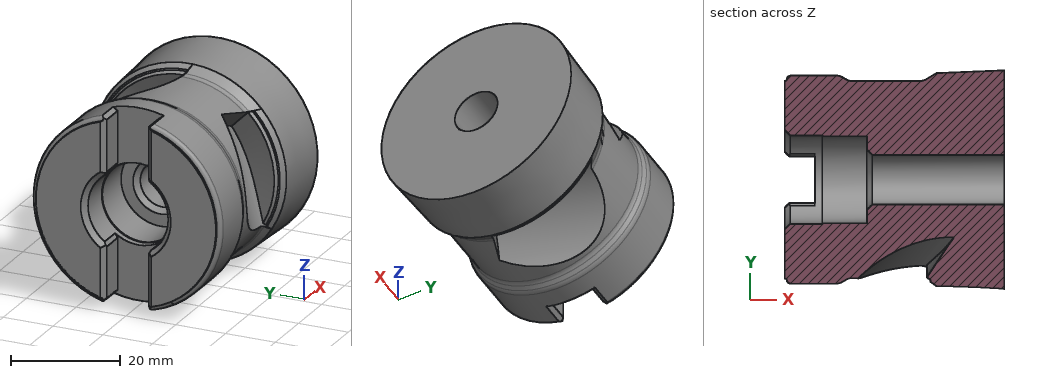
import cadquery as cq
import math

LENGTH = 40.05
RIM_RADIUS = 19.0
NECK_RADIUS = 18.0
TAIL_RADIUS = 19.95
CONE_ANGLE = math.radians(30)
RIM_CONE_START = 10.0
SHOULDER_CONE_START = 25.15
SHOULDER_CONE_END = 27.65
BLEND_RADIUS = 2.0

FACE_LIP_LENGTH = 0.35
FACE_LIP_TAPER = 0.05
RIM_ROUND = 0.85

BORE_RADIUS = 8.05
BORE_STEP = 0.15
BORE_STEP_DEPTH = 6.9
BORE_DEPTH = 15.0
BORE_CHAMFER = 1.0
HOLE_RADIUS = 4.5
HOLE_CHAMFER = 1.0

SLOT_WIDTH = 8.4
SLOT_DEPTH = 5.5
SLOT_CHAMFER = 0.9
SLOT_BORE_CHAMFER = 0.5

POCKET_COUNT = 3
POCKET_ANGLE = 30.0
POCKET_TILT = 20.5
SCOOP_RADIUS = 20.0
SCOOP_AXIS_RADIAL = 29.1
SCOOP_AXIS_OFFSET = 30.45
SCOOP_END = 13.45
SHOULDER_LIP_TIP_X = 25.9
SHOULDER_LIP_TIP_RADIUS = 17.8
SHOULDER_LIP_BEVEL_LENGTH = 0.65
SHOULDER_LIP_BEVEL_HEIGHT = 0.5
SHOULDER_LIP_STEP = 0.35
UNDERCUT_ANGLE = math.radians(34)

SHOULDER_RADIUS = NECK_RADIUS + (SHOULDER_CONE_END - SHOULDER_CONE_START) * math.tan(CONE_ANGLE)

CLEARANCE = 40.0
X_AXIS = ((0, 0, 0), (1, 0, 0))


def revolved(profile):
    """Turn a closed (x, radius) profile about the X axis."""
    return profile.close().revolve(360, *X_AXIS)


def blend(profile, corner_x, corner_radius, turn_in, turn_out):
    """Run the profile to a corner and round it; turn_in and turn_out are the line slopes."""
    reach = BLEND_RADIUS * math.tan(abs(turn_out - turn_in) / 2)
    start = (corner_x - reach * math.cos(turn_in), corner_radius - reach * math.sin(turn_in))
    end = (corner_x + reach * math.cos(turn_out), corner_radius + reach * math.sin(turn_out))
    tangent = (math.cos(turn_in), math.sin(turn_in))
    return profile.lineTo(*start).tangentArcPoint(end, relative=False)


def make_body():
    rim_cone_end = RIM_CONE_START + (RIM_RADIUS - NECK_RADIUS) / math.tan(CONE_ANGLE)
    rim_round_end = FACE_LIP_LENGTH + RIM_ROUND
    rim_round_start_radius = RIM_RADIUS - RIM_ROUND
    diagonal = RIM_ROUND * math.sqrt(0.5)
    profile = (
        cq.Workplane("XY")
        .lineTo(0, rim_round_start_radius - FACE_LIP_TAPER)
        .lineTo(FACE_LIP_LENGTH, rim_round_start_radius)
        .threePointArc(
            (rim_round_end - diagonal, rim_round_start_radius + diagonal),
            (rim_round_end, RIM_RADIUS),
        )
    )
    profile = blend(profile, RIM_CONE_START, RIM_RADIUS, 0, -CONE_ANGLE)
    profile = blend(profile, rim_cone_end, NECK_RADIUS, -CONE_ANGLE, 0)
    profile = blend(profile, SHOULDER_CONE_START, NECK_RADIUS, 0, CONE_ANGLE)
    profile = (
        profile.lineTo(SHOULDER_CONE_END, SHOULDER_RADIUS)
        .lineTo(LENGTH, TAIL_RADIUS)
        .lineTo(LENGTH, 0)
    )
    return revolved(profile)


def make_bore():
    inner_radius = BORE_RADIUS - BORE_STEP
    profile = (
        cq.Workplane("XY")
        .lineTo(0, BORE_RADIUS + BORE_CHAMFER)
        .lineTo(BORE_CHAMFER, BORE_RADIUS)
        .lineTo(BORE_STEP_DEPTH, BORE_RADIUS)
        .lineTo(BORE_STEP_DEPTH, inner_radius)
        .lineTo(BORE_DEPTH, inner_radius)
        .lineTo(BORE_DEPTH, HOLE_RADIUS + HOLE_CHAMFER)
        .lineTo(BORE_DEPTH + HOLE_CHAMFER, HOLE_RADIUS)
        .lineTo(LENGTH, HOLE_RADIUS)
        .lineTo(LENGTH, 0)
    )
    return revolved(profile)


def make_slot_half():
    """Upper half of the slot, with broken edges where its walls meet the bore and the rim."""
    half_width = SLOT_WIDTH / 2
    bore_y = half_width + SLOT_BORE_CHAMFER
    rim_y = half_width + SLOT_CHAMFER
    right_side = [
        (bore_y, 0),
        (bore_y, math.sqrt(BORE_RADIUS**2 - bore_y**2)),
        (half_width, math.sqrt(BORE_RADIUS**2 - half_width**2) + SLOT_BORE_CHAMFER),
        (half_width, math.sqrt(RIM_RADIUS**2 - half_width**2) - SLOT_CHAMFER),
        (rim_y, math.sqrt(RIM_RADIUS**2 - rim_y**2)),
        (rim_y, CLEARANCE),
    ]
    left_side = [(-y, z) for y, z in reversed(right_side)]
    return cq.Workplane("YZ").polyline(right_side + left_side).close().extrude(SLOT_DEPTH)


def cut_slot(body):
    half_width = SLOT_WIDTH / 2
    half_mouth = half_width + SLOT_CHAMFER
    flared_mouth = (
        cq.Workplane("XY")
        .polyline([(0, -half_mouth), (SLOT_CHAMFER, -half_width), (SLOT_CHAMFER, half_width), (0, half_mouth)])
        .close()
        .extrude(CLEARANCE, both=True)
    )
    upper_half = make_slot_half()
    lower_half = upper_half.rotate(*X_AXIS, 180)
    return body.cut(upper_half).cut(lower_half).cut(flared_mouth)


def make_pocket_limit():
    """Space in front of the pocket's end wall: an undercut cone below a bevelled, stepped lip."""
    bevel_end_x = SHOULDER_LIP_TIP_X + SHOULDER_LIP_BEVEL_LENGTH
    bevel_end_radius = SHOULDER_LIP_TIP_RADIUS + SHOULDER_LIP_BEVEL_HEIGHT
    cone_apex_x = SHOULDER_LIP_TIP_X + SHOULDER_LIP_TIP_RADIUS * math.tan(UNDERCUT_ANGLE)
    profile = (
        cq.Workplane("XY")
        .lineTo(0, CLEARANCE)
        .lineTo(SHOULDER_CONE_END, CLEARANCE)
        .lineTo(SHOULDER_CONE_END, SHOULDER_RADIUS)
        .lineTo(bevel_end_x, bevel_end_radius + SHOULDER_LIP_STEP)
        .lineTo(bevel_end_x, bevel_end_radius)
        .lineTo(SHOULDER_LIP_TIP_X, SHOULDER_LIP_TIP_RADIUS)
        .lineTo(cone_apex_x, 0)
    )
    return revolved(profile)


def make_pocket():
    """Tilted cylinder with a flat end, stopped by the undercut below the shoulder lip."""
    tilt = math.radians(POCKET_TILT)
    axis = cq.Vector(math.sin(tilt), 0, -math.cos(tilt))
    across = cq.Vector(math.cos(tilt), 0, math.sin(tilt))
    radial = cq.Vector(0, 1, 0)
    center = radial * SCOOP_AXIS_RADIAL + across * SCOOP_AXIS_OFFSET + axis * SCOOP_END
    scoop_plane = cq.Plane(origin=center.toTuple(), xDir=radial.toTuple(), normal=(axis * -1).toTuple())
    scoop = cq.Workplane(scoop_plane).circle(SCOOP_RADIUS).extrude(2 * CLEARANCE)
    scoop = scoop.rotate(*X_AXIS, POCKET_ANGLE)
    return scoop.intersect(make_pocket_limit())


def cut_pockets(body):
    pocket = make_pocket()
    for index in range(POCKET_COUNT):
        body = body.cut(pocket.rotate(*X_AXIS, index * 360 / POCKET_COUNT))
    return body


body = make_body().cut(make_bore())
body = cut_slot(body)
result = cut_pockets(body)